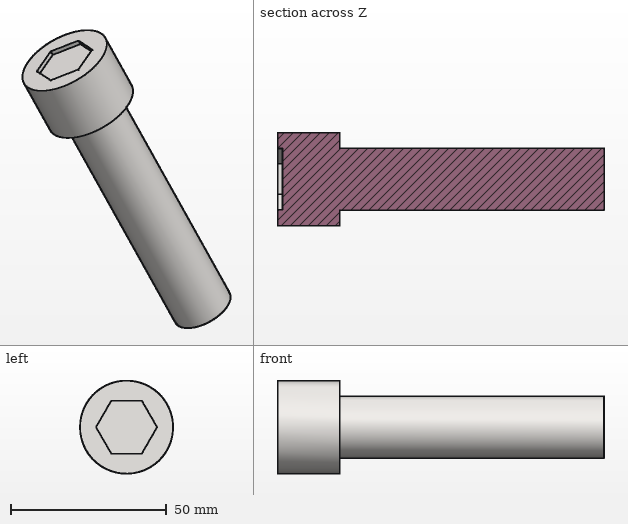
import cadquery as cq
import math

head_diameter = 30.0
head_length = 20.0
shank_diameter = 20.0
shank_length = 85.0
tip_chamfer = 0.2
socket_across_flats = 17.0
socket_depth = 1.5

total_length = head_length + shank_length
head_face_x = -total_length / 2
shoulder_x = head_face_x + head_length
socket_across_corners = socket_across_flats / math.cos(math.radians(30))


def plane_at(x):
    """Plane square to the screw axis, with its local X along +Y."""
    return cq.Workplane("YZ", origin=(x, 0, 0))


def make_head():
    return plane_at(head_face_x).circle(head_diameter / 2).extrude(head_length)


def make_shank():
    shank = plane_at(shoulder_x).circle(shank_diameter / 2).extrude(shank_length)
    return shank.faces(">X").chamfer(tip_chamfer)


def make_socket():
    """Hexagon with corners on the Y axis and flats facing up and down."""
    return plane_at(head_face_x).polygon(6, socket_across_corners).extrude(socket_depth)


result = make_head().union(make_shank()).cut(make_socket())